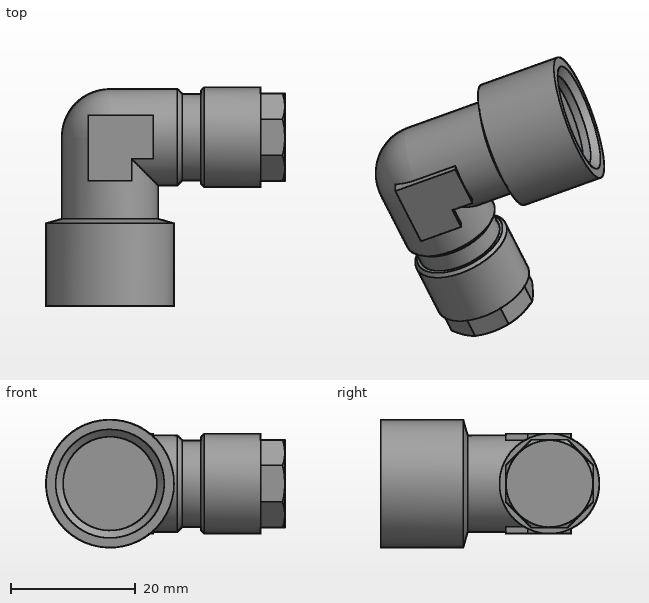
import cadquery as cq
import math

overall_x = 38.25
overall_y = 35.0
collar_radius = 16.0 / 2

body_radius = 15.5 / 2

socket_radius = 20.5 / 2
socket_end = overall_y - collar_radius
socket_start = 13.77
socket_taper_start = 13.05
bore_radius = 15.0 / 2
bore_depth = 2.5
bore_chamfer = 1.2

neck_radius = 13.9 / 2
neck_start = 11.6
collar_start = 14.55
collar_end = 24.1
collar_chamfer = 0.55
male_end = overall_x - socket_radius

nut_sides = 8
nut_across_flats = 14.05
nut_end_radius = 13.9 / 2
nut_chamfer_angle = 30.0

pad_half_width = 3.48
pad_reach = 6.95
pad_height = collar_radius


def revolve_x(profile):
    """Revolve a closed (x, radius) profile about the X axis."""
    return cq.Workplane("XY").polyline(profile).close().revolve(360, (0, 0, 0), (1, 0, 0))


def revolve_y(profile):
    """Revolve a closed (distance along -Y, radius) profile about the Y axis."""
    points = [(radius, -distance) for distance, radius in profile]
    return cq.Workplane("XY").polyline(points).close().revolve(360, (0, 0, 0), (0, 1, 0))


def make_male_arm():
    shoulder_chamfer = body_radius - neck_radius
    return revolve_x([
        (0, 0),
        (0, body_radius),
        (neck_start - shoulder_chamfer, body_radius),
        (neck_start, neck_radius),
        (collar_start, neck_radius),
        (collar_start, collar_radius - collar_chamfer),
        (collar_start + collar_chamfer, collar_radius),
        (collar_end, collar_radius),
        (collar_end, 0),
    ])


def make_nut():
    corner_radius = nut_across_flats / 2 / math.cos(math.pi / nut_sides)
    chamfer_length = (corner_radius - nut_end_radius) * math.tan(math.radians(nut_chamfer_angle))
    prism = (
        cq.Workplane("YZ", origin=(collar_end, 0, 0))
        .transformed(rotate=(0, 0, 180 / nut_sides))
        .polygon(nut_sides, 2 * corner_radius)
        .extrude(male_end - collar_end)
    )
    envelope = revolve_x([
        (collar_end, 0),
        (collar_end, corner_radius),
        (male_end - chamfer_length, corner_radius),
        (male_end, nut_end_radius),
        (male_end, 0),
    ])
    return prism.intersect(envelope)


def make_female_arm():
    return revolve_y([
        (0, 0),
        (0, body_radius),
        (socket_taper_start, body_radius),
        (socket_start, socket_radius),
        (socket_end, socket_radius),
        (socket_end, 0),
    ])


def make_bore():
    return revolve_y([
        (socket_end, 0),
        (socket_end, bore_radius + bore_chamfer),
        (socket_end - bore_chamfer, bore_radius),
        (socket_end - bore_depth, bore_radius),
        (socket_end - bore_depth, 0),
    ])


def make_pads():
    """One L-shaped prism through the elbow; its two ends form the flats."""
    outline = [
        (-pad_half_width, pad_half_width),
        (pad_reach, pad_half_width),
        (pad_reach, -pad_half_width),
        (pad_half_width, -pad_half_width),
        (pad_half_width, -pad_reach),
        (-pad_half_width, -pad_reach),
    ]
    return cq.Workplane("XY").polyline(outline).close().extrude(pad_height, both=True)


result = (
    cq.Workplane("XY")
    .sphere(body_radius)
    .union(make_male_arm())
    .union(make_nut())
    .union(make_female_arm())
    .union(make_pads())
    .cut(make_bore())
)